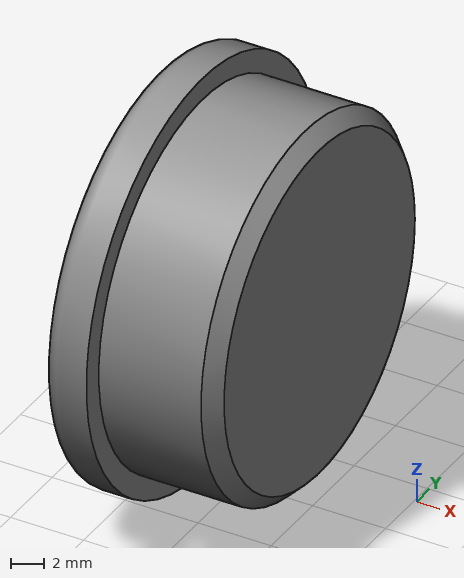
import cadquery as cq

flange_diameter = 28.0
total_length = 11.0
flange_thickness = 3.0
plug_diameter = 25.0

face_rounding = 1.0
lead_in = 1.0

flange = (
    cq.Workplane("YZ")
    .circle(flange_diameter / 2)
    .extrude(flange_thickness)
    .faces("<X")
    .edges()
    .fillet(face_rounding)
)

plug = (
    cq.Workplane("YZ", origin=(flange_thickness, 0, 0))
    .circle(plug_diameter / 2)
    .extrude(total_length - flange_thickness)
    .faces(">X")
    .edges()
    .chamfer(lead_in)
)

result = flange.union(plug)